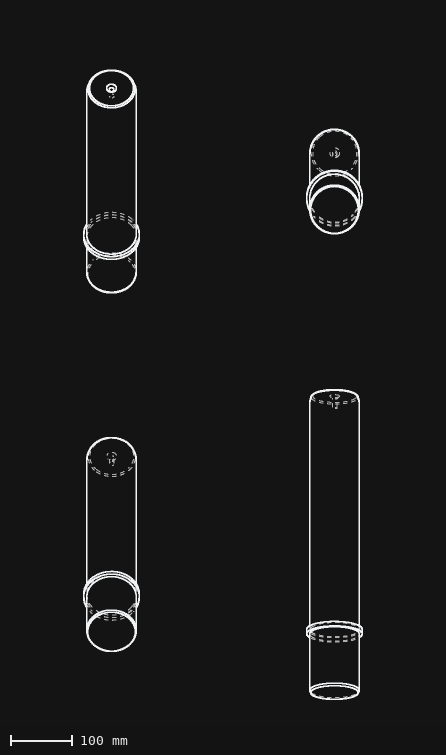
import cadquery as cq

length = 500.0
body_radius = 40.0

collar_radius = 45.0
collar_bottom = 99.0
collar_thickness = 7.5
collar_top = collar_bottom + collar_thickness

taper_bottom = 490.5
taper_top = 498.0
taper_top_radius = 38.0
top_face_radius = 35.5

foot_chamfer_height = 4.0
foot_chamfer_width = 1.5

countersink_radius = 8.0
bore_radius = 4.0
countersink_depth = countersink_radius - bore_radius
bore_depth = 20.0


def make_shaft():
    """Revolve the stepped half profile about the Z axis."""
    profile = [
        (0, 0),
        (body_radius - foot_chamfer_width, 0),
        (body_radius, foot_chamfer_height),
        (body_radius, collar_bottom),
        (collar_radius, collar_bottom),
        (collar_radius, collar_top),
        (body_radius, collar_top),
        (body_radius, taper_bottom),
        (taper_top_radius, taper_top),
        (top_face_radius, length),
        (0, length),
    ]
    return cq.Workplane("XZ").polyline(profile).close().revolve(360, (0, 0), (0, 1))


def make_centre_hole():
    """Revolve the countersunk blind hole about the Z axis."""
    profile = [
        (0, length),
        (countersink_radius, length),
        (bore_radius, length - countersink_depth),
        (bore_radius, length - bore_depth),
        (0, length - bore_depth),
    ]
    return cq.Workplane("XZ").polyline(profile).close().revolve(360, (0, 0), (0, 1))


result = make_shaft().cut(make_centre_hole())